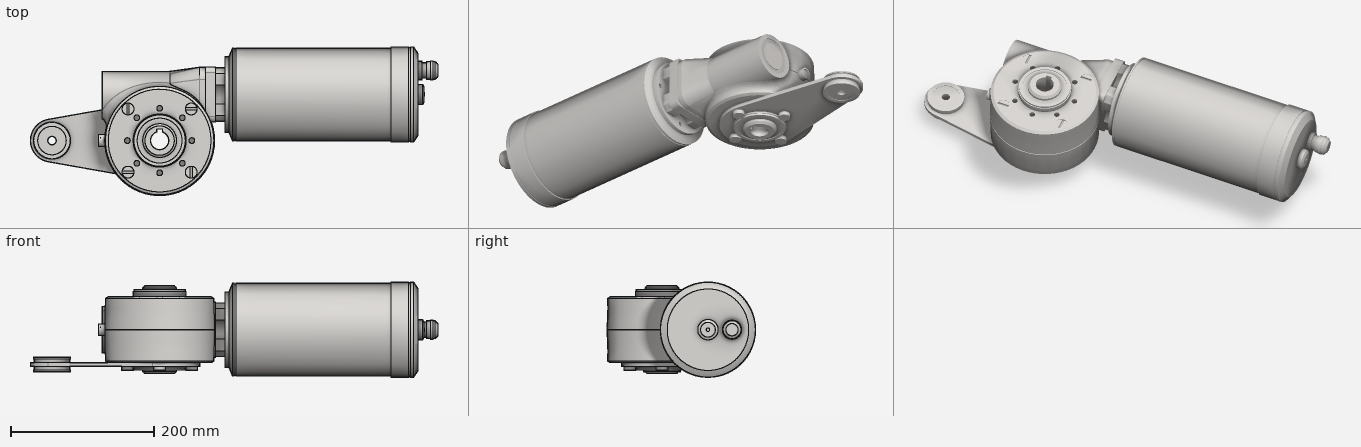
import cadquery as cq
import math


housing_mid_radius = 77.0
housing_end_radius = 75.5
housing_half_height = 46.0
rim_chamfer_radial = 4.0
rim_chamfer_height = 2.0
split_groove = 1.0

seal_radius = 37.0
seal_height = 53.5
seal_lip_radius = 36.0
seal_lip_height = 56.5
seal_recess_radius = 31.5
seal_recess_depth = 1.0
sleeve_radius = 23.6
sleeve_height = 61.5
sleeve_chamfer = 3.15
bore_diameter = 25.0
keyway_width = 8.0
keyway_top = 16.0

tapped_hole_diameter = 8.0
tapped_hole_depth = 11.5
tapped_circle_radius = 45.0
screw_diameter = 16.5
screw_offset = 44.1
screw_recess = 0.5
slot_width = 3.5
slot_depth = 3.0

arm_length = 150.0
arm_hub_radius = 56.5
arm_eye_radius = 30.0
arm_thickness = 5.0
bolt_head_diameter = 16.5
bolt_head_height = 5.5
bushing_diameter = 52.0
bushing_length = 20.5
bushing_waist_diameter = 50.0
bushing_lip = 2.55
bushing_core_diameter = 40.0
bushing_core_recess = 0.5
bushing_hole_diameter = 11.5

worm_axis_y = 64.5
tube_radius = 32.5
tube_start = -80.0
flare_start = 14.0
flare_end = 56.0
flare_corner = 17.0
flare_half_width = 38.0
flange_start = 64.5
flange_split = 78.0
flange_half_width = 38.5
flange_motor_half_width = 37.5
flange_corner = 8.0
tube_blend_radius = 11.5
end_cover_diameter = 52.0
end_cover_depth = 1.0
end_boss_diameter = 39.0

plug_diameter = 16.5
plug_hole_diameter = 13.0
plug_end = -85.5
plug_hole_depth = 3.0

pilot_start = 91.0
pilot_radius = 53.0
body_chamfer_start = 96.5
body_start = 102.0
body_radius = 65.0
cap_start = 322.5
cap_radius = 66.5
cap_round_start = 354.5
cap_end = 360.5
cap_face_radius = 57.0
ring_groove_depth = 0.85
ring_groove_width = 2.0
front_groove_x = 104.0
cap_groove_x = 347.5
flange_bolt_hole_diameter = 7.0
flange_bolt_hole_depth = 3.0
flange_bolt_circle_radius = 42.5
bolt_notch_radius = 14.0

gland_y = 98.0
gland_collar_radius = 13.0
gland_collar_end = 366.0
gland_neck_radius = 11.0
gland_nut_start = 372.5
gland_nut_radius = 12.5
gland_bead_radius = 13.35
gland_bead_start = 378.5
gland_bead_end = 381.0
gland_dome_start = 384.5
gland_end = 388.5
gland_tip_radius = 8.5

connector_radius = 14.0
connector_rim = 367.0
connector_face = 369.0
connector_face_radius = 10.0
connector_tip_radius = 2.45
connector_end = 370.0

clearance = 5.5
selection_margin = 0.5


def cylinder_z(radius, z_low, z_high, x=0.0, y=0.0):
    return cq.Workplane("XY", origin=(x, y, z_low)).circle(radius).extrude(z_high - z_low)


def cylinder_x(radius, x_low, x_high, y=worm_axis_y, z=0.0):
    return cq.Workplane("YZ", origin=(x_low, y, z)).circle(radius).extrude(x_high - x_low)


def turned_z(profile):
    """Revolve (radius, z) points about the gear axis."""
    return cq.Workplane("XZ").polyline(profile).close().revolve(360, (0, 0), (0, 1))


def turned_x(profile, y=worm_axis_y):
    """Revolve (x, radius) points about a line along X at the given Y."""
    return cq.Workplane("XY", origin=(0, y, 0)).polyline(profile).close().revolve(360, (0, 0), (1, 0))


def polar_points(radius, count):
    angles = [2 * math.pi * i / count for i in range(count)]
    return [(radius * math.cos(a), radius * math.sin(a)) for a in angles]


def make_housing():
    rim_z = housing_half_height - rim_chamfer_height
    face_radius = housing_end_radius - rim_chamfer_radial
    return turned_z([
        (0, -housing_half_height),
        (face_radius, -housing_half_height),
        (housing_end_radius, -rim_z),
        (housing_mid_radius, 0),
        (housing_end_radius, rim_z),
        (face_radius, housing_half_height),
        (0, housing_half_height),
    ])


def make_gearbox():
    """Drum and worm tube with a rounded blend where they meet.

    The tube is first made overlong so that the blend runs around the whole junction,
    and is then trimmed to its ends.
    """
    reach = 2 * housing_mid_radius
    gearbox = make_housing().union(cylinder_x(tube_radius, -reach, reach))
    junction = cq.selectors.BoxSelector(
        (-housing_mid_radius, 0, -tube_radius - selection_margin),
        (housing_mid_radius, housing_mid_radius + selection_margin, tube_radius + selection_margin),
        boundingbox=True,
    )
    gearbox = gearbox.edges(junction).fillet(tube_blend_radius)
    kept = cq.Workplane("XY").box(flange_start - tube_start, 4 * reach, 4 * reach)
    kept = kept.translate(((flange_start + tube_start) / 2, 0, 0))
    drum = make_housing()
    gearbox = gearbox.intersect(kept).union(drum)
    return gearbox.union(make_flare()).cut(make_tube_end_recess())


def make_flare():
    """Transition from the round tube to the square of the flange, then straight up to the flange."""
    width = 2 * flare_half_width
    round_end = cq.Sketch().circle(tube_radius)
    square_end = cq.Sketch().rect(width, width).vertices().fillet(flare_corner)
    length = flare_end - flare_start
    flare = cq.Workplane("YZ", origin=(flare_start, worm_axis_y, 0))
    flare = flare.placeSketch(round_end, square_end.moved(cq.Location(cq.Vector(0, 0, length)))).loft()
    return flare.faces(">X").wires().toPending().extrude(flange_start - flare_end)


def make_tube_end_recess():
    """Ring-shaped recess in the tube's end face, around a flush boss."""
    recess = cylinder_x(end_cover_diameter / 2, tube_start, tube_start + end_cover_depth)
    return recess.cut(cylinder_x(end_boss_diameter / 2, tube_start, tube_start + end_cover_depth))


def make_level_plug():
    plug = cylinder_x(plug_diameter / 2, plug_end, clearance - housing_mid_radius, y=0)
    return plug.cut(cylinder_x(plug_hole_diameter / 2, plug_end, plug_end + plug_hole_depth, y=0))


def make_flange():
    """Square flange with eased corners; its motor half has a notch for each motor bolt."""
    width = 2 * flange_half_width
    flange = cq.Workplane("YZ", origin=(flange_start, worm_axis_y, 0)).rect(width, width)
    flange = flange.extrude(flange_split - flange_start).edges("|X").fillet(flange_corner)
    motor_width = 2 * flange_motor_half_width
    motor_half = cq.Workplane("YZ", origin=(flange_split, worm_axis_y, 0)).rect(motor_width, motor_width)
    motor_half = motor_half.extrude(pilot_start - flange_split).edges("|X").chamfer(flange_corner)
    notches = cq.Workplane("YZ", origin=(flange_split, worm_axis_y, 0))
    notches = notches.pushPoints(polar_points(flange_bolt_circle_radius, 4))
    notches = notches.circle(bolt_notch_radius).extrude(pilot_start - flange_split)
    return flange.union(motor_half.cut(notches))


def make_hub():
    profile = [
        (0, 0),
        (seal_radius, 0),
        (seal_radius, seal_height),
        (seal_lip_radius, seal_height),
        (seal_lip_radius, seal_lip_height),
        (seal_recess_radius, seal_lip_height),
        (seal_recess_radius, seal_lip_height - seal_recess_depth),
        (sleeve_radius, seal_lip_height - seal_recess_depth),
        (sleeve_radius, sleeve_height - sleeve_chamfer),
        (sleeve_radius - sleeve_chamfer, sleeve_height),
        (0, sleeve_height),
    ]
    upper = turned_z(profile)
    return upper.union(upper.mirror("XY"))


def make_bore():
    bore = cylinder_z(bore_diameter / 2, -sleeve_height, sleeve_height)
    keyway = cq.Workplane("XY")
    keyway = keyway.box(keyway_width, keyway_top, 2 * sleeve_height, centered=(True, False, True))
    return bore.union(keyway)


def make_arm():
    """Flat arm whose straight sides are tangent to the hub circle and the eye circle."""
    top = -housing_half_height
    tangent_sine = (arm_hub_radius - arm_eye_radius) / arm_length
    tangent_cosine = math.sqrt(1 - tangent_sine**2)

    hub_x = -arm_hub_radius * tangent_sine
    hub_y = arm_hub_radius * tangent_cosine
    eye_x = -arm_length - arm_eye_radius * tangent_sine
    eye_y = arm_eye_radius * tangent_cosine
    arm = cq.Workplane("XY", origin=(0, 0, top)).moveTo(hub_x, hub_y)
    arm = arm.threePointArc((arm_hub_radius, 0), (hub_x, -hub_y)).lineTo(eye_x, -eye_y)
    arm = arm.threePointArc((-arm_length - arm_eye_radius, 0), (eye_x, eye_y)).close()
    arm = arm.extrude(-arm_thickness)

    heads = cq.Workplane("XY", origin=(0, 0, top - arm_thickness))
    heads = heads.pushPoints(polar_points(tapped_circle_radius, 4))
    heads = heads.circle(bolt_head_diameter / 2).extrude(-bolt_head_height)
    return arm.union(heads).union(make_bushing()).cut(make_bushing_hole())


def bushing_ends():
    middle = -housing_half_height - arm_thickness / 2
    return middle - bushing_length / 2, middle + bushing_length / 2


def make_bushing():
    low, high = bushing_ends()
    bushing = cylinder_z(bushing_waist_diameter / 2, low, high, -arm_length)
    for lip_low in (low, high - bushing_lip):
        lip = cylinder_z(bushing_diameter / 2, lip_low, lip_low + bushing_lip, -arm_length)
        bushing = bushing.union(lip)
    core_radius = bushing_core_diameter / 2
    bushing = bushing.cut(cylinder_z(core_radius, high - bushing_core_recess, high, -arm_length))
    return bushing.cut(cylinder_z(core_radius, low, low + bushing_core_recess, -arm_length))


def make_bushing_hole():
    low, high = bushing_ends()
    return cylinder_z(bushing_hole_diameter / 2, low, high, -arm_length)


def ring_groove(radius, x):
    outer = cylinder_x(radius + clearance, x, x + ring_groove_width)
    return outer.cut(cylinder_x(radius - ring_groove_depth, x, x + ring_groove_width))


def make_motor():
    motor = turned_x([
        (pilot_start, 0),
        (pilot_start, pilot_radius),
        (body_chamfer_start, pilot_radius),
        (body_start, body_radius),
        (cap_start, body_radius),
        (cap_start, cap_radius),
        (cap_round_start, cap_radius),
        (cap_end, cap_face_radius),
        (cap_end, 0),
    ])
    motor = motor.cut(ring_groove(body_radius, front_groove_x))
    motor = motor.cut(ring_groove(cap_radius, cap_groove_x))
    holes = cq.Workplane("YZ", origin=(pilot_start, worm_axis_y, 0))
    holes = holes.pushPoints(polar_points(flange_bolt_circle_radius, 4))
    holes = holes.circle(flange_bolt_hole_diameter / 2).extrude(flange_bolt_hole_depth)
    return motor.cut(holes)


def make_gland():
    return turned_x([
        (cap_end, 0),
        (cap_end, gland_collar_radius),
        (gland_collar_end, gland_collar_radius),
        (gland_collar_end, gland_neck_radius),
        (gland_nut_start, gland_neck_radius),
        (gland_nut_start, gland_nut_radius),
        (gland_bead_start, gland_nut_radius),
        (gland_bead_start, gland_bead_radius),
        (gland_bead_end, gland_bead_radius),
        (gland_bead_end, gland_nut_radius),
        (gland_dome_start, gland_nut_radius),
        (gland_end, gland_tip_radius),
        (gland_end, 0),
    ], gland_y)


def make_connector():
    return turned_x([
        (cap_end, 0),
        (cap_end, connector_radius),
        (connector_rim, connector_radius),
        (connector_face, connector_face_radius),
        (connector_face, connector_tip_radius),
        (connector_end, connector_tip_radius),
        (connector_end, 0),
    ])


def make_screw_cut(x, y, slot_along_x):
    face = housing_half_height
    recess = cylinder_z(screw_diameter / 2, face - screw_recess, face, x, y)
    slot_size = (screw_diameter, slot_width) if slot_along_x else (slot_width, screw_diameter)
    slot = cq.Workplane("XY", origin=(x, y, face)).rect(*slot_size).extrude(-slot_depth)
    return recess.union(slot.intersect(cylinder_z(screw_diameter / 2, face - slot_depth, face, x, y)))


def make_tapped_holes():
    holes = cq.Workplane("XY", origin=(0, 0, housing_half_height))
    holes = holes.pushPoints(polar_points(tapped_circle_radius, 8))
    return holes.circle(tapped_hole_diameter / 2).extrude(-tapped_hole_depth)


def make_split_groove():
    outer = housing_mid_radius + clearance
    inner = housing_mid_radius - split_groove
    half = split_groove / 2
    return cylinder_z(outer, -half, half).cut(cylinder_z(inner, -half, half))


result = make_gearbox().cut(make_split_groove()).union(make_level_plug())
result = result.union(make_flange()).union(make_motor()).union(make_gland()).union(make_connector())
result = result.union(make_hub()).cut(make_tapped_holes())
for sx in (-1, 1):
    for sy in (-1, 1):
        result = result.cut(make_screw_cut(sx * screw_offset, sy * screw_offset, sx == sy))
result = result.union(make_arm()).cut(make_bore())